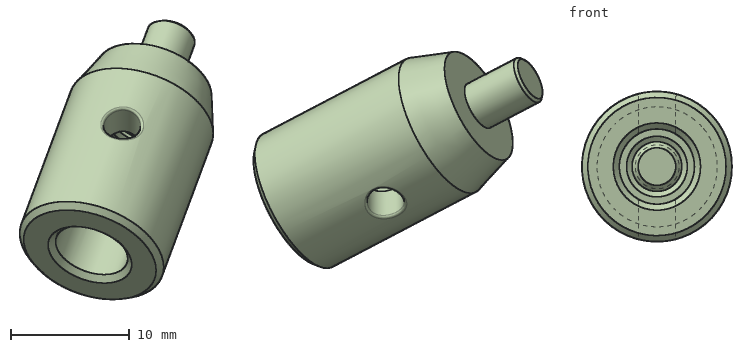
import cadquery as cq

total_length = 24.38
pin_projection = 5.3
housing_length = total_length - pin_projection
housing_radius = 6.35

rim_chamfer = 0.5
taper_length = 3.83
taper_end_radius = 5.07

bore_radius = 3.17
bore_depth = 14.0
bore_chamfer = 0.5
pin_radius = 2.1
countersink_width = 0.46
countersink_depth = 0.27

cross_hole_radius = 1.55
cross_hole_position = 9.53
cross_hole_fillet = 0.2

pin_start = bore_depth + countersink_depth
pin_inner_chamfer = 0.5
pin_outer_chamfer = 0.25


def revolve_about_y(profile):
    """Turn a closed (radius, y) profile around the Y axis."""
    return cq.Workplane("XY").polyline(profile).close().revolve(360, (0, 0, 0), (0, 1, 0))


def make_blank():
    """Solid exterior of the housing: front chamfer, cylinder and rear taper."""
    return revolve_about_y([
        (0, 0),
        (housing_radius - rim_chamfer, 0),
        (housing_radius, rim_chamfer),
        (housing_radius, housing_length - taper_length),
        (taper_end_radius, housing_length),
        (0, housing_length),
    ])


def drill_cross_hole(blank):
    """Drill along Z and round the two edges where the hole meets the outside."""
    hole = (
        cq.Workplane("XY")
        .center(0, cross_hole_position)
        .circle(cross_hole_radius)
        .extrude(housing_radius, both=True)
    )
    reach = 2 * cross_hole_radius
    height = 2 * housing_radius
    mouth_area = cq.selectors.BoxSelector(
        (-reach, cross_hole_position - reach, -height),
        (reach, cross_hole_position + reach, height),
        boundingbox=True,
    )
    mouth_edges = mouth_area - cq.selectors.TypeSelector("LINE")
    return blank.cut(hole).edges(mouth_edges).fillet(cross_hole_fillet)


def make_bore():
    """Cutting volume: chamfered bore, flat floor, countersink and pin hole."""
    return revolve_about_y([
        (0, 0),
        (bore_radius + bore_chamfer, 0),
        (bore_radius, bore_chamfer),
        (bore_radius, bore_depth),
        (pin_radius + countersink_width, bore_depth),
        (pin_radius, pin_start),
        (pin_radius, housing_length),
        (0, housing_length),
    ])


def make_housing():
    return drill_cross_hole(make_blank()).cut(make_bore())


def make_pin():
    """Round pin with a chamfer on each end."""
    return revolve_about_y([
        (0, pin_start),
        (pin_radius - pin_inner_chamfer, pin_start),
        (pin_radius, pin_start + pin_inner_chamfer),
        (pin_radius, total_length - pin_outer_chamfer),
        (pin_radius - pin_outer_chamfer, total_length),
        (0, total_length),
    ])


housing = make_housing()
pin = make_pin()
result = cq.Compound.makeCompound([housing.solids().val(), pin.val()])